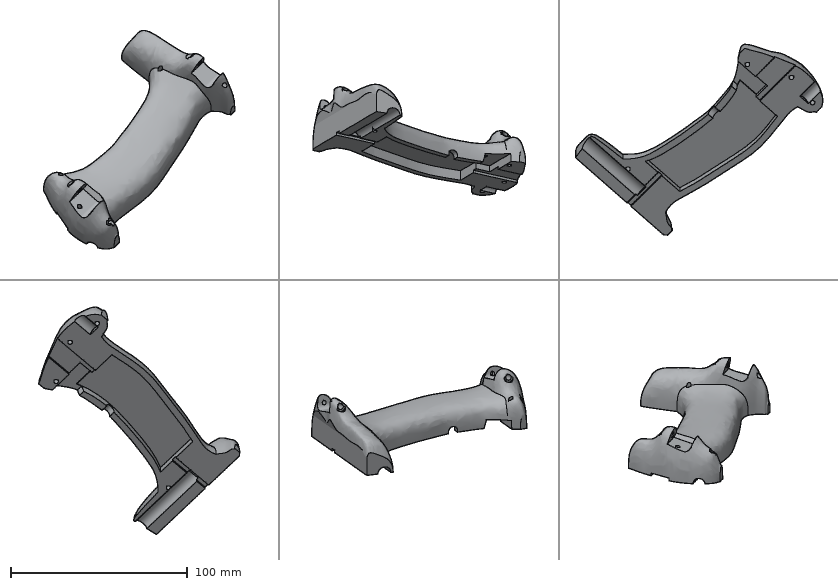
import cadquery as cq
import math


LENGTH = 128.3
END_Y = LENGTH / 2

OUTSIDE_X = -51.3
OUTSIDE_Y = 77.0

GRIP_STATIONS = [
    (-48.8, -8.3, 32.1, 15.9),
    (-40.5, -10.4, 30.2, 15.7),
    (-33.8, -6.2, 30.5, 14.5),
    (-23.6, -3.6, 31.8, 14.0),
    (-13.5, -2.7, 32.3, 14.0),
    (0.0, -3.6, 30.5, 14.0),
    (13.5, -5.6, 27.6, 14.0),
    (27.1, -8.6, 24.6, 14.0),
    (37.1, -12.5, 21.7, 14.4),
    (43.9, -18.0, 20.0, 15.4),
    (52.6, -24.4, 21.2, 17.3),
]
GRIP_ROUNDNESS = 3.5

LOWER_ARM_STATIONS = [
    (-15.0, -51.1, -47.0, -48.8, 7.7),
    (-13.1, -52.0, -43.6, -47.9, 13.5),
    (-9.0, -54.2, -39.8, -47.5, 17.0),
    (-3.9, -56.7, -39.1, -48.1, 17.6),
    (1.3, -58.7, -39.8, -48.8, 20.3),
    (5.8, -60.2, -40.2, -49.2, 25.7),
    (11.5, -62.4, -40.2, -49.2, 27.0),
    (18.0, -63.9, -40.2, -49.4, 26.5),
    (23.1, -63.9, -41.1, -49.7, 25.3),
    (28.2, -63.3, -44.3, -50.7, 21.3),
    (33.4, -61.6, -46.3, -52.6, 18.4),
    (37.9, -59.2, -47.7, -52.9, 15.0),
    (41.0, -55.2, -50.3, -52.9, 9.0),
]
LOWER_ARM_ROUNDNESS = 2.1

UPPER_ARM_STATIONS = [
    (-41.3, 47.1, 63.1, 59.7, 9.6),
    (-38.5, 46.1, 63.1, 59.7, 14.9),
    (-33.4, 45.5, 63.1, 59.7, 19.0),
    (-23.1, 44.9, 63.1, 59.7, 20.8),
    (-12.8, 44.7, 63.1, 59.7, 21.5),
    (-5.1, 46.2, 63.1, 59.7, 23.5),
    (0.6, 48.8, 63.7, 60.2, 28.2),
    (4.5, 50.0, 64.3, 60.6, 29.8),
    (11.5, 50.7, 63.4, 60.3, 30.0),
    (18.0, 50.7, 64.3, 60.6, 29.5),
    (21.8, 52.6, END_Y, 60.6, 27.2),
    (24.4, 54.7, 63.9, 60.3, 23.5),
    (27.6, 56.0, 63.1, 59.9, 18.0),
    (29.9, 56.6, 62.1, 59.5, 12.2),
    (31.0, 57.1, 61.1, 59.2, 6.4),
]
UPPER_ARM_ROUNDNESS = 2.6

PROFILE_STEPS = 12

ARM_BACK_FOOT = (62.5, 0.0)
ARM_BACK_KNEE = (62.5, 13.5)
ARM_BACK_TOP = (END_Y, 20.5)

ARM_END_LOW = (-41.7, 44.9)
ARM_END_HIGH = (-38.8, 63.5)

SADDLE_TILT = 13.0
SADDLE_FILLET = 3.2
SADDLE_HEIGHT = 25.7
LOWER_SADDLE_LEFT = 10.5
LOWER_SADDLE_FLOOR = 20.0
LOWER_SADDLE_WIDTH = 13.9
UPPER_SADDLE_LEFT = 5.8
UPPER_SADDLE_FLOOR = 22.5
UPPER_SADDLE_WIDTH = 14.1
LOWER_SADDLE_PROFILE = [
    (-OUTSIDE_Y, 0.0),
    (-46.5, 0.0),
    (-42.9, 2.0),
    (-42.9, SADDLE_HEIGHT),
    (-OUTSIDE_Y, SADDLE_HEIGHT),
]
UPPER_SADDLE_PROFILE = [
    (46.2, 0.0),
    (OUTSIDE_Y, 0.0),
    (OUTSIDE_Y, SADDLE_HEIGHT),
    (46.2, SADDLE_HEIGHT),
]

LUG_HOLES = [(-49.8, 24.1, 5.0, 22.5), (59.0, 27.6, 0.0, 38.5)]
LUG_CLEARANCE_DIAMETER = 3.3
LUG_PILOT_DIAMETER = 2.5
LUG_SPOT_DIAMETER = 5.6
LUG_SPLIT = 10.3
SPOT_FACE_REACH = 12.8

SCREW_POINTS = [(-7.2, -45.0), (16.3, -56.3), (35.4, -53.4), (-12.7, 47.2)]
SCREW_DIAMETER = 2.6
RECESS_CENTER = (35.9, -51.2)
RECESS_LENGTH = 4.4
RECESS_WIDTH = 2.6
RECESS_FLOOR = 14.8

CHANNEL_HEIGHT = 5.8
CHANNEL_WALL = 3.9
CHANNEL_END = 38.5
SLOT_HEIGHT = 1.5
SLOT_LEFT = 1.2
FRONT_SLOT_WIDTH = 11.9
BACK_SLOT_WIDTH = 2.8
FRONT_BORE_X = 30.8
FRONT_BORE_RADIUS = 3.2
FRONT_BORE_END_Y = -51.3
ARM_BORE_Y = 52.1
ARM_BORE_RADIUS = 3.9
ARM_BORE_END_X = 2.6
SIDE_ARCH_Y = -10.8
SIDE_ARCH_RADIUS = 2.8
SIDE_ARCH_HEIGHT = 3.9
SIDE_WINDOW = [(-42.9, 0.0), (-42.9, 5.1), (-30.8, 5.1), (-29.4, 0.0)]
SIDE_OPENING_END_X = 10.3


def dome_points(low, high, crest, height, roundness):
    """Superellipse arch from (low, 0) over (crest, height) to (high, 0)."""
    points = []
    for step in range(PROFILE_STEPS + 1):
        angle = math.pi * step / PROFILE_STEPS
        across = math.cos(angle)
        reach = crest - low if across > 0 else high - crest
        offset = math.copysign(abs(across) ** (2 / roundness), across)
        rise = abs(math.sin(angle)) ** (2 / roundness)
        points.append((crest - reach * offset, height * rise))
    points[0] = (low, 0)
    points[-1] = (high, 0)
    return points


def dome_wire(points, place):
    """Closed wire of an arch; place maps its two coordinates into space."""
    corners = [place(*point) for point in points]
    arch = cq.Edge.makeSpline(corners)
    base = cq.Edge.makeLine(corners[-1], corners[0])
    return cq.Wire.assembleEdges([arch, base])


def make_grip():
    wires = []
    for y, left, right, height in GRIP_STATIONS:
        points = dome_points(left, right, (left + right) / 2, height, GRIP_ROUNDNESS)
        wires.append(dome_wire(points, lambda x, z, y=y: cq.Vector(x, y, z)))
    return cq.Workplane(cq.Solid.makeLoft(wires))


def make_arm(stations, roundness):
    wires = []
    for x, front, back, crest, height in stations:
        points = dome_points(front, back, crest, height, roundness)
        wires.append(dome_wire(points, lambda y, z, x=x: cq.Vector(x, y, z)))
    return cq.Workplane(cq.Solid.makeLoft(wires))


def make_arm_end_cut():
    """Everything to the left of the upper arm's slanted end."""
    return (
        cq.Workplane("XY")
        .polyline([ARM_END_LOW, ARM_END_HIGH, (OUTSIDE_X, ARM_END_HIGH[1]), (OUTSIDE_X, ARM_END_LOW[1])])
        .close()
        .extrude(LENGTH)
    )


def make_arm_back_cut():
    """Everything behind the folded back face of the upper arm."""
    width = -2 * OUTSIDE_X
    return (
        cq.Workplane("YZ", origin=(OUTSIDE_X, 0, 0))
        .polyline([ARM_BACK_FOOT, ARM_BACK_KNEE, ARM_BACK_TOP, (ARM_BACK_TOP[0], LENGTH)])
        .lineTo(OUTSIDE_Y, LENGTH)
        .lineTo(OUTSIDE_Y, ARM_BACK_FOOT[1])
        .close()
        .extrude(width)
    )


def make_saddle(left, floor, width, side_profile):
    """Tilted channel along Y, open at the top, with its right floor corner rounded."""
    cutter = cq.Workplane("YZ").polyline(side_profile).close().extrude(width)
    cutter = cutter.edges("|Y and >X and <Z").fillet(SADDLE_FILLET)
    return cutter.rotate((0, 0, 0), (0, 1, 0), SADDLE_TILT).translate((left, 0, floor))


def x_cylinder(y, z, start_x, end_x, diameter):
    return cq.Workplane("YZ", origin=(start_x, y, z)).circle(diameter / 2).extrude(end_x - start_x)


def make_lug_hole(y, z, spot_x, depth):
    """Stepped bore square to the saddle walls: spot face, clearance hole, pilot hole."""
    spot_face = x_cylinder(0, 0, -SPOT_FACE_REACH, 0, LUG_SPOT_DIAMETER)
    clearance = x_cylinder(0, 0, 0, LUG_SPLIT, LUG_CLEARANCE_DIAMETER)
    pilot = x_cylinder(0, 0, LUG_SPLIT, depth, LUG_PILOT_DIAMETER)
    bore = spot_face.union(clearance).union(pilot)
    return bore.rotate((0, 0, 0), (0, 1, 0), SADDLE_TILT).translate((spot_x, y, z))


def make_channel():
    """Flat-topped cavity that follows the grip outline one wall thickness inside it."""
    inner = [station for station in GRIP_STATIONS if abs(station[0]) < CHANNEL_END]
    left = [(station[1] + CHANNEL_WALL, station[0]) for station in inner]
    right = [(station[2] - CHANNEL_WALL, station[0]) for station in reversed(inner)]
    return (
        cq.Workplane("XY")
        .spline(left)
        .lineTo(*right[0])
        .spline(right[1:], includeCurrent=True)
        .close()
        .extrude(CHANNEL_HEIGHT)
    )


def make_edge_openings():
    """Wire slots, half-round bores and side windows along the parting face."""
    front_slot = cq.Workplane("XY").box(FRONT_SLOT_WIDTH, OUTSIDE_Y, SLOT_HEIGHT, centered=False)
    front_slot = front_slot.translate((SLOT_LEFT, -OUTSIDE_Y, 0))
    back_slot = cq.Workplane("XY").box(BACK_SLOT_WIDTH, OUTSIDE_Y, SLOT_HEIGHT, centered=False)
    back_slot = back_slot.translate((SLOT_LEFT, 0, 0))
    front_bore = (
        cq.Workplane("XZ", origin=(FRONT_BORE_X, FRONT_BORE_END_Y, 0))
        .circle(FRONT_BORE_RADIUS)
        .extrude(OUTSIDE_Y + FRONT_BORE_END_Y)
    )
    arm_bore = x_cylinder(ARM_BORE_Y, 0, OUTSIDE_X, ARM_BORE_END_X, 2 * ARM_BORE_RADIUS)
    side_plane = cq.Workplane("YZ", origin=(OUTSIDE_X, 0, 0))
    depth = SIDE_OPENING_END_X - OUTSIDE_X
    spring_z = SIDE_ARCH_HEIGHT - SIDE_ARCH_RADIUS
    arch = (
        side_plane.moveTo(SIDE_ARCH_Y - SIDE_ARCH_RADIUS, 0)
        .lineTo(SIDE_ARCH_Y - SIDE_ARCH_RADIUS, spring_z)
        .threePointArc((SIDE_ARCH_Y, SIDE_ARCH_HEIGHT), (SIDE_ARCH_Y + SIDE_ARCH_RADIUS, spring_z))
        .lineTo(SIDE_ARCH_Y + SIDE_ARCH_RADIUS, 0)
        .close()
        .extrude(depth)
    )
    window = side_plane.polyline(SIDE_WINDOW).close().extrude(depth)
    return [front_slot, back_slot, front_bore, arm_bore, arch, window]


upper_arm = make_arm(UPPER_ARM_STATIONS, UPPER_ARM_ROUNDNESS).cut(make_arm_end_cut()).cut(make_arm_back_cut())
lower_arm = make_arm(LOWER_ARM_STATIONS, LOWER_ARM_ROUNDNESS)
body = make_grip().union(upper_arm).union(lower_arm)

lower_saddle = make_saddle(LOWER_SADDLE_LEFT, LOWER_SADDLE_FLOOR, LOWER_SADDLE_WIDTH, LOWER_SADDLE_PROFILE)
upper_saddle = make_saddle(UPPER_SADDLE_LEFT, UPPER_SADDLE_FLOOR, UPPER_SADDLE_WIDTH, UPPER_SADDLE_PROFILE)
body = body.cut(lower_saddle).cut(upper_saddle)

for hole in LUG_HOLES:
    body = body.cut(make_lug_hole(*hole))

screw_holes = cq.Workplane("XY").pushPoints(SCREW_POINTS).circle(SCREW_DIAMETER / 2).extrude(LENGTH)
recess = (
    cq.Workplane("XY", origin=(*RECESS_CENTER, RECESS_FLOOR))
    .slot2D(RECESS_LENGTH, RECESS_WIDTH)
    .extrude(LENGTH)
)
body = body.cut(screw_holes).cut(recess)

body = body.cut(make_channel())
for opening in make_edge_openings():
    body = body.cut(opening)

result = body